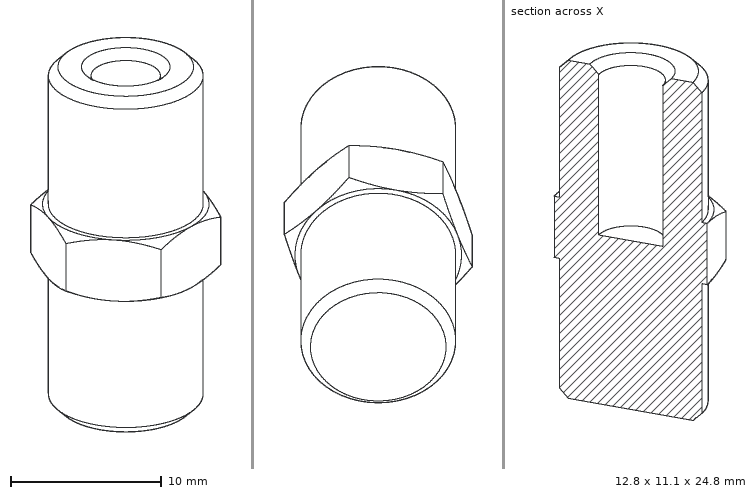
import cadquery as cq
import math

total_length = 24.78
body_diameter = 10.3
end_chamfer = 0.65

hex_across_flats = 11.08
hex_bottom = 10.14
hex_height = 4.5
hex_chamfer_angle = 30.0

bore_diameter = 4.6
bore_mouth_diameter = 5.9
bore_depth = 12.4


def make_body():
    body = cq.Workplane("XY").circle(body_diameter / 2).extrude(total_length)
    return body.faces("<Z or >Z").chamfer(end_chamfer)


def make_collar():
    """Hexagon with its corners turned down by a cone at both ends."""
    flat_radius = hex_across_flats / 2
    corner_radius = flat_radius / math.cos(math.radians(30))
    corner_drop = (corner_radius - flat_radius) * math.tan(math.radians(hex_chamfer_angle))
    hexagon = cq.Workplane("XY").polygon(6, 2 * corner_radius).extrude(hex_height)
    turned_profile = (
        cq.Workplane("XZ")
        .moveTo(0, 0)
        .lineTo(flat_radius, 0)
        .lineTo(corner_radius, corner_drop)
        .lineTo(corner_radius, hex_height - corner_drop)
        .lineTo(flat_radius, hex_height)
        .lineTo(0, hex_height)
        .close()
    )
    turned_blank = turned_profile.revolve(360, (0, 0, 0), (0, 1, 0))
    return hexagon.intersect(turned_blank).translate((0, 0, hex_bottom))


def make_bore():
    """Cutting solid for the bore and its 45 degree countersunk mouth."""
    bore_radius = bore_diameter / 2
    mouth_radius = bore_mouth_diameter / 2
    mouth_depth = mouth_radius - bore_radius
    profile = (
        cq.Workplane("XZ")
        .moveTo(0, total_length)
        .lineTo(mouth_radius, total_length)
        .lineTo(bore_radius, total_length - mouth_depth)
        .lineTo(bore_radius, total_length - bore_depth)
        .lineTo(0, total_length - bore_depth)
        .close()
    )
    return profile.revolve(360, (0, 0, 0), (0, 1, 0))


result = make_body().union(make_collar()).cut(make_bore())